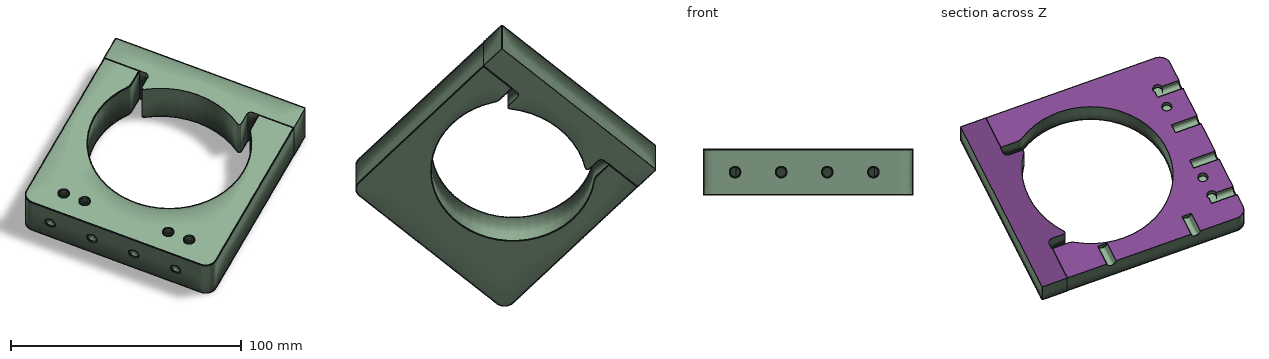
import cadquery as cq
import math


WIDTH = 90.75
HEIGHT = 19.9
BLOCK_LENGTH = 85.0
CAP_THICKNESS = 11.85

BORE_RADIUS = 35.5
BORE_TO_FRONT = 54.5
SLOT_WIDTH = 57.0
SLOT_BORE_FILLET = 5.0
FRONT_CORNER_RADIUS = 5.0
EDGE_CHAMFER = 0.25

TOOTH_WIDTH = 47.5
TOOTH_ROOT_RADIUS = 2.0
TOOTH_TIP_RADIUS = 1.0
CAP_ARC_RADIUS = 38.5
CAP_ARC_DEPTH = 13.15
CAP_CORNER_CHAMFER = 0.3

DRILL_DIAMETER = 4.2
HOLE_CHAMFER = 0.4
TAPPED_DEPTH = 12.0
TOP_HOLE_XS = (-30.0, -20.0, 20.0, 30.0)
TOP_HOLE_SETBACK = 10.3
FRONT_HOLE_PITCH = 20.0
FRONT_HOLE_COUNT = 4
FRONT_ROW_OFFSET = -1.75
SIDE_HOLE_SETBACKS = (24.4, 64.1)
SIDE_HOLE_DEPTH = 10.0

front_y = -BORE_TO_FRONT
seam_y = front_y + BLOCK_LENGTH
back_y = seam_y + CAP_THICKNESS
half_width = WIDTH / 2
half_height = HEIGHT / 2
X_AXIS = cq.Vector(1, 0, 0)
Y_AXIS = cq.Vector(0, 1, 0)
DOWN = cq.Vector(0, 0, -1)


def blind_hole(mouth, direction, depth):
    """Flat-ended drilled hole, cut inward from its mouth point."""
    return cq.Solid.makeCylinder(DRILL_DIAMETER / 2, depth, mouth, direction)


def countersink(mouth, direction):
    """Small 45 degree cone that breaks the edge of a tapped hole."""
    drill_radius = DRILL_DIAMETER / 2
    return cq.Solid.makeCone(drill_radius + HOLE_CHAMFER, drill_radius, HOLE_CHAMFER, mouth, direction)


def edges_near(half_span, y):
    """Selector for edges at this Y that lie within half_span of the YZ plane."""
    margin = 0.5
    return cq.selectors.BoxSelector(
        (-half_span - margin, y - margin, -HEIGHT),
        (half_span + margin, y + margin, HEIGHT),
    )


def make_block_body():
    """Bored and slotted plate with rounded front corners and broken edges."""
    slot_half = SLOT_WIDTH / 2
    slot_end_y = math.sqrt(BORE_RADIUS**2 - slot_half**2)
    outline = (
        cq.Workplane("XY", origin=(0, 0, -half_height))
        .moveTo(-half_width, front_y)
        .lineTo(half_width, front_y)
        .lineTo(half_width, seam_y)
        .lineTo(slot_half, seam_y)
        .lineTo(slot_half, slot_end_y)
        .threePointArc((0, -BORE_RADIUS), (-slot_half, slot_end_y))
        .lineTo(-slot_half, seam_y)
        .lineTo(-half_width, seam_y)
        .close()
    )
    body = outline.extrude(HEIGHT)
    front_corners = edges_near(half_width, front_y)
    slot_corners = edges_near(slot_half, slot_end_y)
    body = body.edges("|Z").edges(front_corners).fillet(FRONT_CORNER_RADIUS)
    body = body.edges("|Z").edges(slot_corners).fillet(SLOT_BORE_FILLET)
    return body.faces("|Z").edges().chamfer(EDGE_CHAMFER)


def cut_block_holes(body):
    """Two pairs of top holes, a row of front holes and two plain side holes."""
    tapped = [(cq.Vector(x, front_y + TOP_HOLE_SETBACK, half_height), DOWN) for x in TOP_HOLE_XS]
    for i in range(FRONT_HOLE_COUNT):
        x = FRONT_ROW_OFFSET + (i - (FRONT_HOLE_COUNT - 1) / 2) * FRONT_HOLE_PITCH
        tapped.append((cq.Vector(x, front_y, 0), Y_AXIS))
    for mouth, direction in tapped:
        body = body.cut(blind_hole(mouth, direction, TAPPED_DEPTH))
        body = body.cut(countersink(mouth, direction))
    for setback in SIDE_HOLE_SETBACKS:
        mouth = cq.Vector(-half_width, front_y + setback, 0)
        body = body.cut(blind_hole(mouth, X_AXIS, SIDE_HOLE_DEPTH))
    return body


def make_cap():
    """Flat bar with a tooth that enters the slot and is hollowed by an arc."""
    tooth_half = TOOTH_WIDTH / 2
    arc_top_y = back_y - CAP_ARC_DEPTH
    tip_y = arc_top_y - CAP_ARC_RADIUS + math.sqrt(CAP_ARC_RADIUS**2 - tooth_half**2)
    cap = (
        cq.Workplane("XY", origin=(0, 0, -half_height))
        .moveTo(-half_width, back_y)
        .lineTo(-half_width, seam_y)
        .lineTo(-tooth_half, seam_y)
        .lineTo(-tooth_half, tip_y)
        .threePointArc((0, arc_top_y), (tooth_half, tip_y))
        .lineTo(tooth_half, seam_y)
        .lineTo(half_width, seam_y)
        .lineTo(half_width, back_y)
        .close()
        .extrude(HEIGHT)
    )
    tooth_roots = edges_near(tooth_half, seam_y)
    tooth_tips = edges_near(tooth_half, tip_y)
    cap = cap.edges("|Z").edges(tooth_roots).fillet(TOOTH_ROOT_RADIUS)
    cap = cap.edges("|Z").edges(tooth_tips).fillet(TOOTH_TIP_RADIUS)
    return cap.faces(">Y").edges("|Z").chamfer(CAP_CORNER_CHAMFER)


block = cut_block_holes(make_block_body())
cap = make_cap()

result = cq.Compound.makeCompound([block.val(), cap.val()])